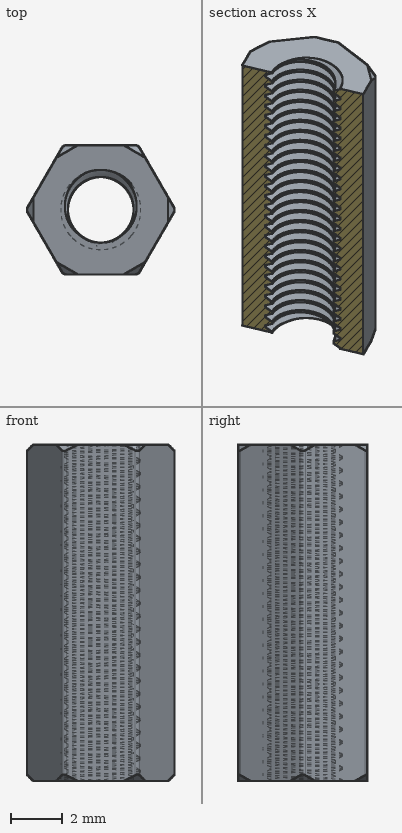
import cadquery as cq
import math

length = 13.0
across_flats = 5.0
edge_radius = 0.2
corner_chamfer = 0.25

minor_diameter = 2.53
major_diameter = 3.09
pitch = 0.5
thread_half_angle = 30.0
root_flat = pitch / 8
root_angle = 90.0
cutter_overlap = 0.04
overrun = pitch

sides = 6
bottom_z = 0.0
top_z = bottom_z + length

half_side_angle = math.pi / sides
across_corners = across_flats / math.cos(half_side_angle)
rounded_corner_radius = across_corners / 2 - edge_radius * (1 / math.cos(half_side_angle) - 1)


def make_hex_bar():
    """Hexagonal bar with rounded long edges."""
    bar = cq.Workplane("XY", origin=(0, 0, bottom_z)).polygon(sides, across_corners).extrude(length)
    return bar.edges("|Z").fillet(edge_radius)


def make_corner_cutter():
    """Prism along Y that bevels the +X corner at 45 degrees, at both ends."""
    inner_x = rounded_corner_radius - corner_chamfer
    outer_x = rounded_corner_radius + corner_chamfer
    rise = outer_x - inner_x
    bevels = cq.Workplane("XZ")
    for end_z, inward in ((bottom_z, 1), (top_z, -1)):
        bevels = bevels.polyline([
            (inner_x, end_z),
            (outer_x, end_z),
            (outer_x, end_z + inward * rise),
        ]).close()
    return bevels.extrude(across_flats / 2, both=True)


def make_thread_cutter():
    """Helical ridge that cuts the thread groove through the full length."""
    major_radius = major_diameter / 2
    inner_radius = minor_diameter / 2 - cutter_overlap
    flank_rise = (major_radius - inner_radius) * math.tan(math.radians(thread_half_angle))
    root_half = root_flat / 2
    mouth_half = root_half + flank_rise
    helix = cq.Wire.makeHelix(pitch, length + 2 * overrun, minor_diameter / 2)
    groove = (
        cq.Workplane("XZ")
        .polyline([
            (inner_radius, -mouth_half),
            (major_radius, -root_half),
            (major_radius, root_half),
            (inner_radius, mouth_half),
        ])
        .close()
        .sweep(cq.Workplane(obj=helix), isFrenet=True)
    )
    return groove.rotate((0, 0, 0), (0, 0, 1), root_angle).translate((0, 0, bottom_z - overrun))


def make_bore():
    """Cylinder at the minor diameter that passes both end faces."""
    bore = cq.Workplane("XY", origin=(0, 0, bottom_z - overrun)).circle(minor_diameter / 2)
    return bore.extrude(length + 2 * overrun)


body = make_hex_bar()
corner_cutter = make_corner_cutter()
for side in range(sides):
    body = body.cut(corner_cutter.rotate((0, 0, 0), (0, 0, 1), side * 360 / sides))

body = body.cut(make_thread_cutter())
result = body.cut(make_bore()).solids()